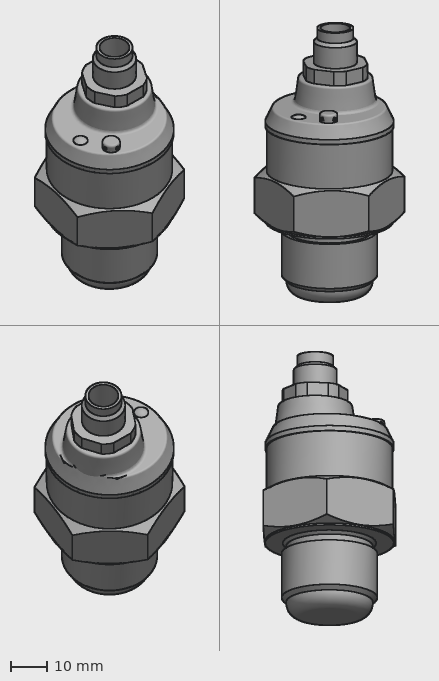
import cadquery as cq
import math

TOTAL_HEIGHT = 75.4

THREAD_RADIUS = 26.5 / 2
NECK_RADIUS = 24.0 / 2
NOSE_ROUND = 3.85
NOSE_TOP = 4.15
THREAD_BOTTOM = NOSE_TOP + THREAD_RADIUS - NECK_RADIUS
THREAD_TOP = 18.2
COLLAR_BOTTOM = 21.1
NECK_CHAMFER = 0.9

COLLAR_RADIUS = 35.6 / 2
HEX_BOTTOM = 21.65
HEX_TOP = 35.45
HEX_ACROSS_FLATS = 36.0
HEX_TURN = 23.1
HEX_CHAMFER_SLOPE = math.tan(math.radians(30))

BODY_RADIUS = 34.8 / 2
CAP_RADIUS = 35.6 / 2
CAP_BOTTOM = 48.3
CAP_BAND_HEIGHT = 1.4
CAP_TOP = 54.0
CAP_TOP_RADIUS = 15.75
CAP_TILT = 1.0
CAP_RIM_ROUND = 0.7

TOWER_Y = 4.4
TOWER_TOP = 61.4
TOWER_TOP_RADIUS = 10.25
TOWER_BASE_RADIUS = 11.3
TOWER_TOP_ROUND = 0.7
TOWER_FOOT_ROUND = 1.0
TOWER_FOOT_RADIUS = 12.2

NUT_TOP = 65.45
NUT_ACROSS_FLATS = 17.1
NUT_DIAMETER = 18.1
TUBE_RADIUS = 12.0 / 2
TUBE_TOP = 71.5
TIP_RADIUS = 10.0 / 2
TIP_BOTTOM = TUBE_TOP + TUBE_RADIUS - TIP_RADIUS
BORE_DIAMETER = 8.2

FITTING_X = 4.45
FITTING_Y = -12.0
LAMP_RADIUS = 4.0 / 2
LAMP_HEIGHT = 0.7
BUTTON_DIAMETER = 4.9
BUTTON_TOP = 56.1
BUTTON_ROUND = 0.7
BUTTON_HOLE_DIAMETER = 1.0
BUTTON_HOLE_DEPTH = 0.75
BUTTON_HOLE_Z = 54.7
BUTTON_HOLE_TURN = 64.5


def cap_top_at(y):
    """Height of the sloping cap face at a given Y."""
    return CAP_TOP + y * math.tan(math.radians(CAP_TILT))


def cap_radius_at(z):
    """Radius of the cap's conical side at a given height."""
    cone_bottom = CAP_BOTTOM + CAP_BAND_HEIGHT
    rise = (z - cone_bottom) / (CAP_TOP - cone_bottom)
    return CAP_RADIUS + rise * (CAP_TOP_RADIUS - CAP_RADIUS)


def revolve(profile):
    """Close a half profile of radius and height and spin it around Z."""
    return profile.close().revolve(360, (0, 0, 0), (0, 1, 0))


def make_spigot():
    profile = (
        cq.Workplane("XZ")
        .lineTo(NECK_RADIUS - NOSE_ROUND, 0)
        .radiusArc((NECK_RADIUS, NOSE_ROUND), -NOSE_ROUND)
        .lineTo(NECK_RADIUS, NOSE_TOP)
        .lineTo(THREAD_RADIUS, THREAD_BOTTOM)
        .lineTo(THREAD_RADIUS, THREAD_TOP)
        .lineTo(NECK_RADIUS, THREAD_TOP)
        .lineTo(NECK_RADIUS, COLLAR_BOTTOM - NECK_CHAMFER)
        .lineTo(NECK_RADIUS + NECK_CHAMFER, COLLAR_BOTTOM)
        .lineTo(COLLAR_RADIUS, COLLAR_BOTTOM)
        .lineTo(COLLAR_RADIUS, HEX_BOTTOM)
        .lineTo(0, HEX_BOTTOM)
    )
    return revolve(profile)


def hexagon(across_flats, bottom, top, turn):
    across_corners = across_flats / math.cos(math.radians(30))
    prism = cq.Workplane("XY").polygon(6, across_corners).extrude(top - bottom)
    return prism.rotate((0, 0, 0), (0, 0, 1), turn).translate((0, 0, bottom))


def make_wrench_hex():
    corner_radius = HEX_ACROSS_FLATS / 2 / math.cos(math.radians(30))
    bottom_chamfer = (corner_radius - COLLAR_RADIUS) * HEX_CHAMFER_SLOPE
    top_chamfer = (corner_radius - BODY_RADIUS) * HEX_CHAMFER_SLOPE
    envelope = revolve(
        cq.Workplane("XZ", origin=(0, 0, HEX_BOTTOM))
        .lineTo(COLLAR_RADIUS, 0)
        .lineTo(corner_radius, bottom_chamfer)
        .lineTo(corner_radius, HEX_TOP - HEX_BOTTOM - top_chamfer)
        .lineTo(BODY_RADIUS, HEX_TOP - HEX_BOTTOM)
        .lineTo(0, HEX_TOP - HEX_BOTTOM)
    )
    return hexagon(HEX_ACROSS_FLATS, HEX_BOTTOM, HEX_TOP, HEX_TURN).intersect(envelope)


def make_body():
    return cq.Workplane("XY", origin=(0, 0, HEX_TOP)).circle(BODY_RADIUS).extrude(CAP_BOTTOM - HEX_TOP)


def make_cap_envelope():
    """Cap shape continued upward as a cone, before its top is cut off."""
    profile = (
        cq.Workplane("XZ")
        .moveTo(0, CAP_BOTTOM)
        .lineTo(CAP_RADIUS, CAP_BOTTOM)
        .lineTo(CAP_RADIUS, CAP_BOTTOM + CAP_BAND_HEIGHT)
        .lineTo(cap_radius_at(TOWER_TOP), TOWER_TOP)
        .lineTo(0, TOWER_TOP)
    )
    return revolve(profile)


def make_tilted_slab():
    """Oversized disc whose top is the sloping plane of the cap face."""
    reach = 2 * CAP_RADIUS
    blank = cq.Workplane("XY", origin=(0, 0, CAP_BOTTOM)).circle(reach).extrude(TOWER_TOP - CAP_BOTTOM)
    waste = (
        cq.Workplane("YZ", origin=(-reach, 0, 0))
        .polyline([
            (-reach, cap_top_at(-reach)),
            (reach, cap_top_at(reach)),
            (reach, TOTAL_HEIGHT),
            (-reach, TOTAL_HEIGHT),
        ])
        .close()
        .extrude(2 * reach)
    )
    return blank.cut(waste)


def make_cap():
    cap = make_cap_envelope().intersect(make_tilted_slab())
    return cap.faces(">Z").edges().fillet(CAP_RIM_ROUND)


def make_tower():
    """Plain tapered tower, rooted inside the cap."""
    slope = (TOWER_BASE_RADIUS - TOWER_TOP_RADIUS) / (TOWER_TOP - CAP_TOP)
    tower = revolve(
        cq.Workplane("XZ")
        .moveTo(0, CAP_BOTTOM)
        .lineTo(TOWER_BASE_RADIUS + slope * (CAP_TOP - CAP_BOTTOM), CAP_BOTTOM)
        .lineTo(TOWER_TOP_RADIUS, TOWER_TOP)
        .lineTo(0, TOWER_TOP)
    )
    return tower.faces(">Z").edges().fillet(TOWER_TOP_ROUND).translate((0, TOWER_Y, 0))


def make_tower_foot():
    """Concave foot around the tower, trimmed where it would overhang the cap's conical side."""
    foot = make_tower().union(make_tilted_slab())
    reach = TOWER_FOOT_RADIUS
    junction = cq.selectors.BoxSelector(
        (-reach, TOWER_Y - reach, CAP_TOP - TOWER_FOOT_ROUND),
        (reach, TOWER_Y + reach, CAP_TOP + TOWER_FOOT_ROUND),
    )
    foot = foot.edges(junction).fillet(TOWER_FOOT_ROUND)
    surround = (
        cq.Workplane("XY", origin=(0, TOWER_Y, CAP_BOTTOM))
        .circle(TOWER_FOOT_RADIUS)
        .extrude(TOTAL_HEIGHT)
    )
    return foot.intersect(surround).intersect(make_cap_envelope())


def make_connector():
    nut_height = NUT_TOP - TOWER_TOP
    nut_round = cq.Workplane("XY", origin=(0, 0, TOWER_TOP)).circle(NUT_DIAMETER / 2).extrude(nut_height)
    nut = hexagon(NUT_ACROSS_FLATS, TOWER_TOP, NUT_TOP, 0).intersect(nut_round)
    tube = revolve(
        cq.Workplane("XZ")
        .moveTo(0, NUT_TOP)
        .lineTo(TUBE_RADIUS, NUT_TOP)
        .lineTo(TUBE_RADIUS, TUBE_TOP)
        .lineTo(TIP_RADIUS, TIP_BOTTOM)
        .lineTo(TIP_RADIUS, TOTAL_HEIGHT)
        .lineTo(0, TOTAL_HEIGHT)
    )
    bore_depth = TOTAL_HEIGHT - NUT_TOP
    bore = cq.Workplane("XY", origin=(0, 0, NUT_TOP)).circle(BORE_DIAMETER / 2).extrude(bore_depth)
    return nut.union(tube.cut(bore)).translate((0, TOWER_Y, 0))


def make_lamp():
    """Shallow dome on the sloping cap face."""
    base = cap_top_at(FITTING_Y)
    sphere_radius = (LAMP_RADIUS**2 + LAMP_HEIGHT**2) / (2 * LAMP_HEIGHT)
    dome = cq.Workplane("XY").sphere(sphere_radius).translate((0, 0, base + LAMP_HEIGHT - sphere_radius))
    barrel = cq.Workplane("XY", origin=(0, 0, CAP_BOTTOM)).circle(LAMP_RADIUS).extrude(TOTAL_HEIGHT)
    return dome.intersect(barrel).translate((-FITTING_X, FITTING_Y, 0))


def make_button():
    """Round button with four small blind holes around its side."""
    radius = BUTTON_DIAMETER / 2
    root = CAP_BOTTOM + CAP_BAND_HEIGHT
    button = (
        cq.Workplane("XY", origin=(0, 0, root))
        .circle(radius)
        .extrude(BUTTON_TOP - root)
        .faces(">Z")
        .edges()
        .fillet(BUTTON_ROUND)
    )
    hole = (
        cq.Workplane("YZ", origin=(radius - BUTTON_HOLE_DEPTH, 0, BUTTON_HOLE_Z))
        .circle(BUTTON_HOLE_DIAMETER / 2)
        .extrude(2 * BUTTON_HOLE_DEPTH)
    )
    for quarter in range(4):
        button = button.cut(hole.rotate((0, 0, 0), (0, 0, 1), BUTTON_HOLE_TURN + 90 * quarter))
    return button.translate((FITTING_X, FITTING_Y, 0))


result = (
    make_spigot()
    .union(make_wrench_hex())
    .union(make_body())
    .union(make_cap())
    .union(make_tower())
    .union(make_tower_foot())
    .union(make_connector())
    .union(make_lamp())
    .union(make_button())
)